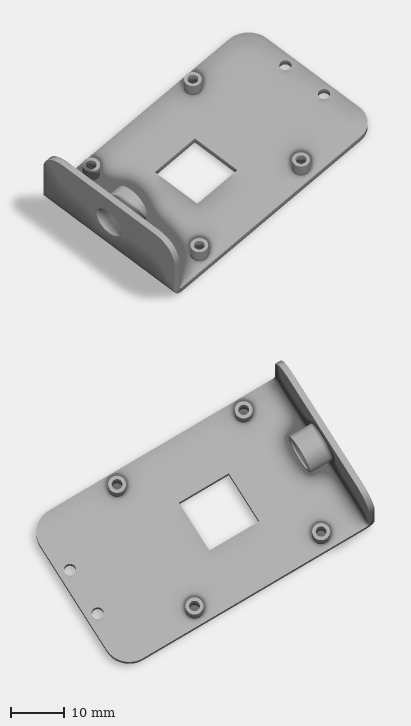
import cadquery as cq

width = 34.0
length = 56.2
height = 15.0
thickness = 1.25
bend_outer_radius = 2.0
bend_inner_radius = bend_outer_radius - thickness
corner_radius = 5.0

post_spacing = 28.0
post_center_y = 24.0
post_diameter = 3.4
post_bore = 2.0
post_height = 2.75

window_size = 11.0

end_hole_diameter = 2.3
end_hole_spacing = 10.0
end_hole_edge_distance = 2.3

collar_diameter = 8.0
collar_bore = 6.4
collar_length = 5.0
collar_z = 8.1


def bent_sheet():
    """Base and upright flange, bent along the X direction at y = 0, z = 0."""
    base = (
        cq.Workplane("XY")
        .box(width, length, thickness, centered=(True, False, False))
        .edges("|Z and >Y")
        .fillet(corner_radius)
    )
    flange = (
        cq.Workplane("XY")
        .box(width, thickness, height, centered=(True, False, False))
        .edges("|Y and >Z")
        .fillet(corner_radius)
    )
    sheet = base.union(flange)
    inner_corner = cq.selectors.NearestToPointSelector((0, thickness, thickness))
    sheet = sheet.edges(inner_corner).fillet(bend_inner_radius)
    return sheet.edges("|X and <Y and <Z").fillet(bend_outer_radius)


def base_posts():
    """Four hollow posts, closed at the bottom by the base."""
    return (
        cq.Workplane("XY", origin=(0, post_center_y, thickness))
        .rect(post_spacing, post_spacing, forConstruction=True)
        .vertices()
        .circle(post_diameter / 2)
        .circle(post_bore / 2)
        .extrude(post_height)
    )


def flange_cylinder(diameter, start_y, end_y):
    """Cylinder along Y on the collar axis."""
    return (
        cq.Workplane("XZ", origin=(0, start_y, collar_z))
        .circle(diameter / 2)
        .extrude(start_y - end_y)
    )


window = (
    cq.Workplane("XY", origin=(0, post_center_y, 0))
    .rect(window_size, window_size)
    .extrude(thickness)
)
end_holes = (
    cq.Workplane("XY", origin=(0, length - end_hole_edge_distance, 0))
    .pushPoints([(-end_hole_spacing / 2, 0), (end_hole_spacing / 2, 0)])
    .circle(end_hole_diameter / 2)
    .extrude(thickness)
)
collar_end_y = thickness + collar_length

result = (
    bent_sheet()
    .union(base_posts())
    .union(flange_cylinder(collar_diameter, thickness, collar_end_y))
    .cut(flange_cylinder(collar_bore, 0, collar_end_y))
    .cut(window)
    .cut(end_holes)
)